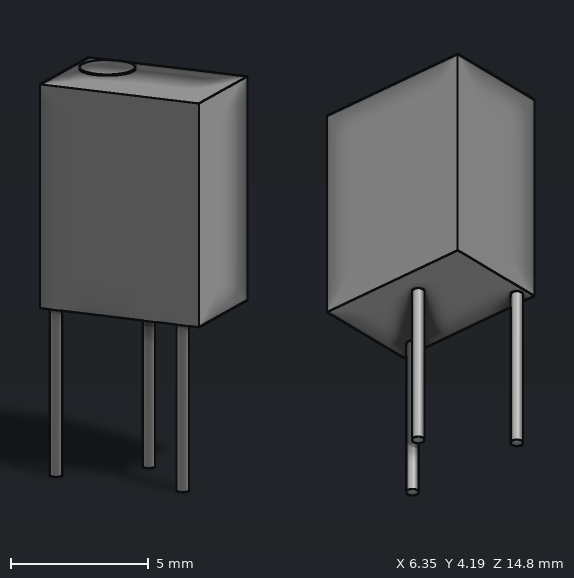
import cadquery as cq

total_height = 14.81
housing_length = 6.35
housing_width = 4.19
pin_length = 6.35
screw_rise = 0.05
housing_height = total_height - pin_length - screw_rise

screw_diameter = 2.03
screw_x = -1.9

pin_diameter = 0.46
pin_pitch = 2.53
middle_pin_x = -0.24
back_row_y = 0.95
front_row_y = back_row_y - pin_pitch
pin_places = [
    (middle_pin_x - pin_pitch, front_row_y),
    (middle_pin_x, back_row_y),
    (middle_pin_x + pin_pitch, front_row_y),
]


def make_housing():
    """Plain block with its underside at Z = 0, centred on the Z axis."""
    return cq.Workplane("XY").box(
        housing_length, housing_width, housing_height, centered=(True, True, False)
    )


def make_screw():
    """Thin screw head resting on the top face of the housing."""
    return (
        cq.Workplane("XY", origin=(screw_x, back_row_y, housing_height))
        .circle(screw_diameter / 2)
        .extrude(screw_rise)
    )


def make_pin(x, y):
    """Round pin hanging from the underside of the housing."""
    return (
        cq.Workplane("XY", origin=(x, y, 0))
        .circle(pin_diameter / 2)
        .extrude(-pin_length)
    )


housing = make_housing()
screw = make_screw()
pins = [make_pin(x, y).val() for x, y in pin_places]

result = cq.Compound.makeCompound([housing.val(), screw.val(), *pins])